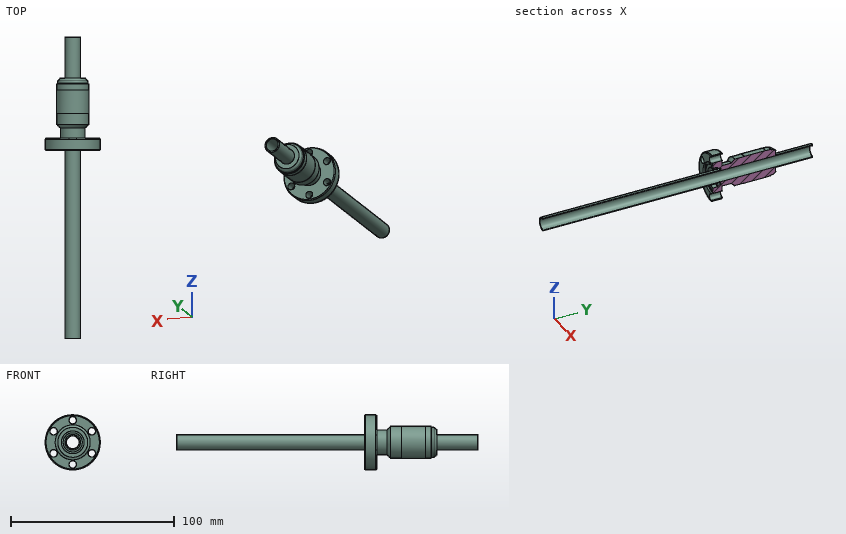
import cadquery as cq
import math


TUBE_LENGTH = 184.15
TUBE_DIAMETER = 9.525
TUBE_BORE_DIAMETER = 7.747

FLANGE_DIAMETER = 33.78
FLANGE_THICKNESS = 7.7
FLANGE_FACE_STATION = 114.75
FLANGE_CHAMFER_FRONT = 0.6
FLANGE_CHAMFER_REAR_AXIAL = 1.0
FLANGE_CHAMFER_REAR_RADIAL = 0.5
BOLT_COUNT = 6
BOLT_CIRCLE_DIAMETER = 26.97
BOLT_HOLE_DIAMETER = 4.4

RECESS_DIAMETER = 21.4
RECESS_DEPTH = 1.2
KNIFE_DIAMETER = 18.3
KNIFE_DEPTH = 0.65

FLANGE_BORE_DIAMETER = 13.9
BUSHING_BORE_DIAMETER = 11.7
BUSHING_BORE_DEPTH = 2.0
FLANGE_BORE_DEPTH = 4.5

NECK_DIAMETER = 15.24
NECK_LENGTH = 6.1
SHOULDER_LENGTH = 2.3
BODY_DIAMETER = 19.7
BODY_LENGTH = 6.5
SLEEVE_DIAMETER = 19.9
SLEEVE_LENGTH = 14.6
CAP_LENGTH = 3.4
RIM_DIAMETER = 18.7
RIM_STEP_CHAMFER = 0.5
RIM_LENGTH = 1.2
RIM_ROUND_RADIUS = 1.5
NOSE_LENGTH = 1.55
NOSE_SLOPE = math.radians(40)

flange_rear = FLANGE_FACE_STATION + FLANGE_THICKNESS
flange_bore_end = FLANGE_FACE_STATION + FLANGE_BORE_DEPTH
neck_end = flange_rear + NECK_LENGTH
shoulder_end = neck_end + SHOULDER_LENGTH
body_end = shoulder_end + BODY_LENGTH
sleeve_end = body_end + SLEEVE_LENGTH
cap_end = sleeve_end + CAP_LENGTH
rim_end = cap_end + RIM_LENGTH
round_length = RIM_ROUND_RADIUS * math.sin(NOSE_SLOPE)
round_drop = RIM_ROUND_RADIUS * (1 - math.cos(NOSE_SLOPE))
round_end = rim_end + round_length
housing_end = round_end + NOSE_LENGTH
nose_start_radius = RIM_DIAMETER / 2 - round_drop
nose_end_radius = nose_start_radius - NOSE_LENGTH * math.tan(NOSE_SLOPE)


def turned(profile):
    """Revolve a closed (radius, station) outline about the Y axis."""
    return cq.Workplane("XY").polyline(profile).close().revolve(360, (0, 0, 0), (0, 1, 0))


def cylinder(diameter, start, end):
    radius = diameter / 2
    return turned([(0, start), (radius, start), (radius, end), (0, end)])


def flange():
    radius = FLANGE_DIAMETER / 2
    return turned([
        (0, FLANGE_FACE_STATION),
        (radius - FLANGE_CHAMFER_FRONT, FLANGE_FACE_STATION),
        (radius, FLANGE_FACE_STATION + FLANGE_CHAMFER_FRONT),
        (radius, flange_rear - FLANGE_CHAMFER_REAR_AXIAL),
        (radius - FLANGE_CHAMFER_REAR_RADIAL, flange_rear),
        (0, flange_rear),
    ])


def housing():
    """Neck, conical shoulder, body with sleeve, and a cap with a rounded, conical nose."""
    mid_slope = NOSE_SLOPE / 2
    mid_round = (
        RIM_DIAMETER / 2 - RIM_ROUND_RADIUS * (1 - math.cos(mid_slope)),
        rim_end + RIM_ROUND_RADIUS * math.sin(mid_slope),
    )
    return (
        cq.Workplane("XY")
        .moveTo(0, FLANGE_FACE_STATION + RECESS_DEPTH)
        .lineTo(NECK_DIAMETER / 2, FLANGE_FACE_STATION + RECESS_DEPTH)
        .lineTo(NECK_DIAMETER / 2, neck_end)
        .lineTo(BODY_DIAMETER / 2, shoulder_end)
        .lineTo(BODY_DIAMETER / 2, body_end)
        .lineTo(SLEEVE_DIAMETER / 2, body_end)
        .lineTo(SLEEVE_DIAMETER / 2, sleeve_end)
        .lineTo(BODY_DIAMETER / 2, sleeve_end)
        .lineTo(BODY_DIAMETER / 2, cap_end)
        .lineTo(RIM_DIAMETER / 2, cap_end + RIM_STEP_CHAMFER)
        .lineTo(RIM_DIAMETER / 2, rim_end)
        .threePointArc(mid_round, (nose_start_radius, round_end))
        .lineTo(nose_end_radius, housing_end)
        .lineTo(0, housing_end)
        .close()
        .revolve(360, (0, 0, 0), (0, 1, 0))
    )


def knife_edge_recess():
    """Ring that leaves a knife edge: its floor slopes deeper from the edge outwards."""
    return turned([
        (0, FLANGE_FACE_STATION),
        (RECESS_DIAMETER / 2, FLANGE_FACE_STATION),
        (RECESS_DIAMETER / 2, FLANGE_FACE_STATION + RECESS_DEPTH),
        (KNIFE_DIAMETER / 2, FLANGE_FACE_STATION + KNIFE_DEPTH),
        (KNIFE_DIAMETER / 2, FLANGE_FACE_STATION + RECESS_DEPTH),
        (0, FLANGE_FACE_STATION + RECESS_DEPTH),
    ])


def clearance_bores():
    wide = cylinder(FLANGE_BORE_DIAMETER, FLANGE_FACE_STATION, flange_bore_end)
    narrow = cylinder(BUSHING_BORE_DIAMETER, flange_bore_end, flange_bore_end + BUSHING_BORE_DEPTH)
    return wide.union(narrow)


def bolt_holes():
    return (
        cq.Workplane("XZ", origin=(0, flange_rear, 0))
        .polarArray(BOLT_CIRCLE_DIAMETER / 2, 90, 360, BOLT_COUNT)
        .circle(BOLT_HOLE_DIAMETER / 2)
        .extrude(FLANGE_THICKNESS)
    )


outer = flange().union(housing())
outer = outer.cut(knife_edge_recess()).cut(clearance_bores()).cut(bolt_holes())
tube = cylinder(TUBE_DIAMETER, 0, TUBE_LENGTH)
tube_bore = cylinder(TUBE_BORE_DIAMETER, 0, TUBE_LENGTH)
result = outer.union(tube).cut(tube_bore).translate((0, -TUBE_LENGTH / 2, 0))